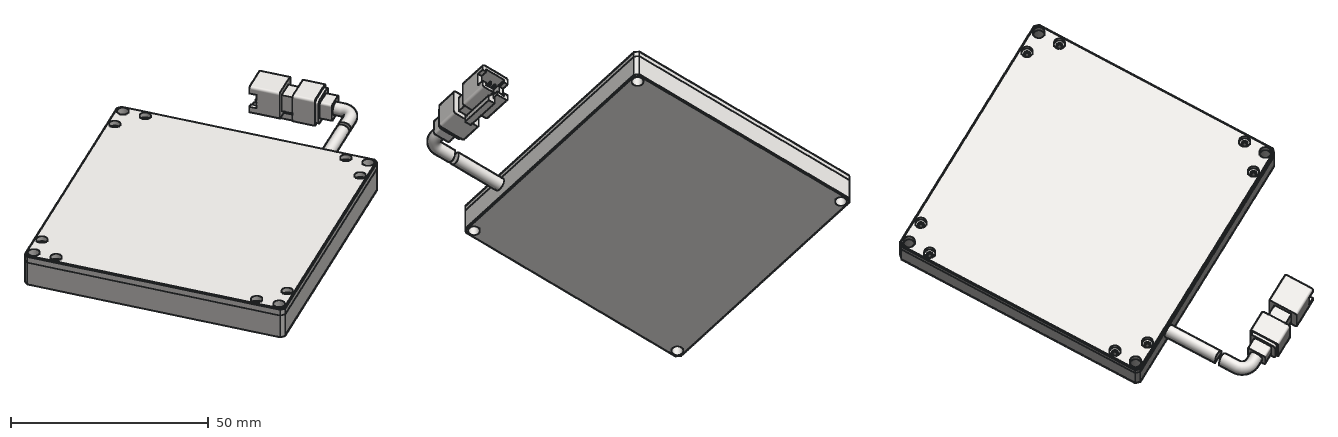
import cadquery as cq
import math

PANEL_SIDE = 70.0
PANEL_HEIGHT = 9.0
COVER_THICKNESS = 2.0
BASE_HEIGHT = PANEL_HEIGHT - COVER_THICKNESS
CORNER_CHAMFER = 1.0
RIM_CHAMFER = 0.3

MOUNT_OFFSET = 33.0
MOUNT_DIAMETER = 3.0
SCREW_OFFSET = 27.0
SCREW_DIAMETER = 1.65
TAP_DIAMETER = 1.1
TAP_DEPTH = 5.0
TAP_POINT_ANGLE = 118
HEAD_DIAMETER = 2.9
HEAD_DEPTH = 1.5

BLOCK_SIDE = 8.1
BLOCK_RADIUS = 0.7
OVERALL_LENGTH = 97.0
CONNECTOR_Y = OVERALL_LENGTH - PANEL_SIDE / 2 - BLOCK_SIDE / 2
CONNECTOR_Z = PANEL_HEIGHT - BLOCK_SIDE / 2

FRONT_BLOCK_START_X = -6.6
FRONT_BLOCK_END_X = FRONT_BLOCK_START_X + BLOCK_SIDE
REAR_BLOCK_START_X = 5.0
REAR_BLOCK_END_X = 11.0
FLANGE_END_X = 11.8
SLEEVE_END_X = 15.0

NECK_SIDE = 4.9
CAVITY_SIDE = 5.8
CAVITY_DEPTH = 4.85
SIDE_NOTCH_HEIGHT = 4.1
SIDE_NOTCH_DEPTH = 1.9
FLOOR_SLOT_WIDTH = 1.2
FLOOR_SLOT_DEPTH = 1.5
LATCH_WIDTH = 1.8
LATCH_LENGTH = 9.6
LATCH_DROP = 1.8
PIN_WIDTH = 0.3
PIN_HEIGHT = 0.9
PIN_LENGTH = 3.9
PIN_SPACING = 1.5
PIN_RISE = 0.2

FLANGE_SIDE = 7.2
FLANGE_RADIUS = 1.0
SLEEVE_SIDE = 5.0
SLEEVE_RADIUS = 0.6

CABLE_X = 20.1
CABLE_DIAMETER = 3.5
BEND_RADIUS = 3.0
CABLE_END_Y = 49.7
CABLE_GAP = 1.2
CUT_RADIUS = 5.3


def mirrored(points):
    """The points repeated in all four quadrants."""
    return [(sx * x, sy * y) for x, y in points for sx in (-1, 1) for sy in (-1, 1)]


MOUNT_POINTS = mirrored([(MOUNT_OFFSET, MOUNT_OFFSET)])
SCREW_POINTS = mirrored([(SCREW_OFFSET, MOUNT_OFFSET), (MOUNT_OFFSET, SCREW_OFFSET)])


def slab(bottom, height):
    """Square plate with chamfered corners."""
    return (
        cq.Workplane("XY", origin=(0, 0, bottom))
        .rect(PANEL_SIDE, PANEL_SIDE)
        .extrude(height)
        .edges("|Z")
        .chamfer(CORNER_CHAMFER)
    )


def drill_mounts(plate):
    """Mounting holes right through the plate."""
    return plate.faces(">Z").workplane(origin=(0, 0, 0)).pushPoints(MOUNT_POINTS).hole(MOUNT_DIAMETER)


def screw_drills():
    """Screw holes: head recess and clearance in the cover, then a pointed tapping hole in the base."""
    head_radius = HEAD_DIAMETER / 2
    clearance_radius = SCREW_DIAMETER / 2
    tap_radius = TAP_DIAMETER / 2
    point_length = tap_radius / math.tan(math.radians(TAP_POINT_ANGLE / 2))
    profile = [
        (0, 0),
        (head_radius, 0),
        (head_radius, -HEAD_DEPTH),
        (clearance_radius, -HEAD_DEPTH),
        (clearance_radius, -COVER_THICKNESS),
        (tap_radius, -COVER_THICKNESS),
        (tap_radius, -TAP_DEPTH),
        (0, -TAP_DEPTH - point_length),
    ]
    drill = cq.Workplane("XZ").polyline(profile).close().revolve(360, (0, 0), (0, 1)).val()
    drills = [drill.moved(cq.Location(cq.Vector(x, y, PANEL_HEIGHT))) for x, y in SCREW_POINTS]
    return cq.Workplane(cq.Compound.makeCompound(drills))


def make_base():
    base = slab(0, BASE_HEIGHT).faces("<Z").chamfer(RIM_CHAMFER)
    return drill_mounts(base).cut(screw_drills())


def make_cover():
    cover = slab(BASE_HEIGHT, COVER_THICKNESS).faces(">Z").chamfer(RIM_CHAMFER)
    return drill_mounts(cover).cut(screw_drills())


def connector_plane(x):
    """Plane across the connector axis at x: local x runs along Y, local y along Z."""
    return cq.Workplane("YZ", origin=(x, CONNECTOR_Y, CONNECTOR_Z))


def square_bar(front, back, side, radius=0):
    """Square bar along the connector axis, with rounded long edges if a radius is given."""
    bar = connector_plane(front).rect(side, side).extrude(back - front)
    return bar.edges("|X").fillet(radius) if radius else bar


def make_front_connector():
    block = square_bar(FRONT_BLOCK_START_X, FRONT_BLOCK_END_X, BLOCK_SIDE, BLOCK_RADIUS)
    neck = square_bar(FRONT_BLOCK_END_X, REAR_BLOCK_START_X, NECK_SIDE)
    cavity = square_bar(FRONT_BLOCK_START_X, FRONT_BLOCK_START_X + CAVITY_DEPTH, CAVITY_SIDE)
    side_notches = (
        connector_plane(FRONT_BLOCK_START_X).rect(BLOCK_SIDE, SIDE_NOTCH_HEIGHT).extrude(SIDE_NOTCH_DEPTH)
    )
    floor_slot = (
        connector_plane(FRONT_BLOCK_START_X)
        .center(0, -BLOCK_SIDE / 4)
        .rect(FLOOR_SLOT_WIDTH, BLOCK_SIDE / 2)
        .extrude(FLOOR_SLOT_DEPTH)
    )
    latch = (
        connector_plane(FRONT_BLOCK_START_X + FLOOR_SLOT_DEPTH)
        .center(0, -(BLOCK_SIDE + LATCH_DROP) / 2)
        .rect(LATCH_WIDTH, LATCH_DROP)
        .extrude(LATCH_LENGTH)
    )
    pins = (
        connector_plane(FRONT_BLOCK_START_X + CAVITY_DEPTH)
        .center(0, PIN_RISE)
        .rarray(PIN_SPACING, 1, 2, 1)
        .rect(PIN_WIDTH, PIN_HEIGHT)
        .extrude(-PIN_LENGTH)
    )
    shell = block.cut(cavity).cut(side_notches).cut(floor_slot)
    return shell.union(neck).union(latch).union(pins)


def make_rear_connector():
    block = square_bar(REAR_BLOCK_START_X, REAR_BLOCK_END_X, BLOCK_SIDE, BLOCK_RADIUS)
    flange = square_bar(REAR_BLOCK_END_X, FLANGE_END_X, FLANGE_SIDE, FLANGE_RADIUS)
    sleeve = square_bar(FLANGE_END_X, SLEEVE_END_X, SLEEVE_SIDE, SLEEVE_RADIUS)
    return block.union(flange).union(sleeve)


def cut_cylinder(end_y):
    """Cylinder along X that shapes a cable end, its +Y side reaching end_y at mid-height."""
    return (
        cq.Workplane("YZ", origin=(CABLE_X, end_y - CUT_RADIUS, CONNECTOR_Z))
        .circle(CUT_RADIUS)
        .extrude(CABLE_DIAMETER, both=True)
    )


def make_cable():
    """Straight cable leaving the enclosure, with a bulging end."""
    wall_y = PANEL_SIDE / 2
    cable = (
        cq.Workplane("XZ", origin=(CABLE_X, wall_y, CONNECTOR_Z))
        .circle(CABLE_DIAMETER / 2)
        .extrude(wall_y - CABLE_END_Y)
    )
    tip_start = CABLE_END_Y - CUT_RADIUS
    tip_zone = (
        cq.Workplane("XZ", origin=(CABLE_X, tip_start, CONNECTOR_Z))
        .rect(2 * CABLE_DIAMETER, 2 * CABLE_DIAMETER)
        .extrude(-CUT_RADIUS)
    )
    return cable.cut(tip_zone.cut(cut_cylinder(CABLE_END_Y)))


def make_cable_tail():
    """Cable piece from the rear connector round the bend to the hollowed cut end."""
    end_y = CABLE_END_Y + CABLE_GAP
    uncut_end_y = end_y - CABLE_DIAMETER / 2
    bend_x = CABLE_X - BEND_RADIUS
    bend_y = CONNECTOR_Y - BEND_RADIUS
    bend_middle = BEND_RADIUS * math.sqrt(0.5)
    path = (
        cq.Workplane("XY", origin=(0, 0, CONNECTOR_Z))
        .moveTo(SLEEVE_END_X, CONNECTOR_Y)
        .lineTo(bend_x, CONNECTOR_Y)
        .threePointArc((bend_x + bend_middle, bend_y + bend_middle), (CABLE_X, bend_y))
        .lineTo(CABLE_X, uncut_end_y)
    )
    tail = connector_plane(SLEEVE_END_X).circle(CABLE_DIAMETER / 2).sweep(path)
    return tail.cut(cut_cylinder(end_y))


base = make_base()
cover = make_cover()
front_connector = make_front_connector()
rear_connector = make_rear_connector()
cable = make_cable()
cable_tail = make_cable_tail()

result = cq.Compound.makeCompound(
    [
        base.val(),
        cover.val(),
        front_connector.val(),
        rear_connector.val(),
        cable.val(),
        cable_tail.val(),
    ]
)